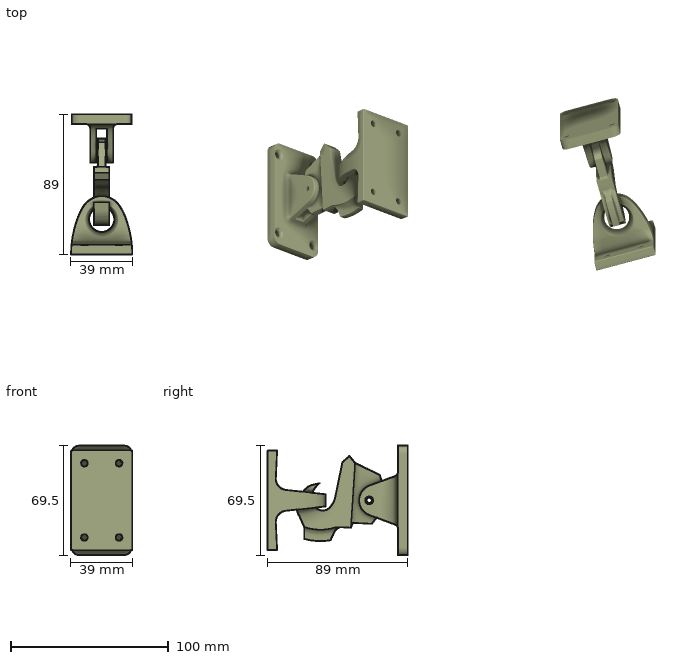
import cadquery as cq
import math


tiny = 0.2

overall_depth = 89.0

wall_back_y = 24.6
wall_thickness = 6.4
wall_width = 38.1
wall_height = 69.5
wall_corner_radius = 5.0
wall_hole_spacing_x = 29.9
wall_hole_spacing_z = 54.0
wall_hole_diameter = 4.0
countersink_diameter = 7.1
countersink_angle = 90

clevis_width = 14.8
clevis_slot_width = 6.6
clevis_slot_floor_y = 15.1
clevis_nose_radius = 10.0
clevis_nose_center_y = 3.65
clevis_flank_angle = 20.5
clevis_edge_radius = 0.7
clevis_base_radius = 2.5

pin_diameter = 5.0
pin_bore = 3.3

hook_width = 9.8
crown_tip = (-12.55, 28.1)
crown_front = (-17.0, 24.1)
shoulder = (-8.9, 23.8)
heel = (-11.6, -17.4)
below_heel_z = -18.7
throat_start = (-21.5, 2.1)
throat_arc_ends = [(-24.8, -4.4), (-33.5, -4.8), (-35.7, 5.3)]
hook_tip = (-31.3, 10.95)
beak_top = (-36.05, 9.8)
beak_arc_ends = [(-39.9, 7.7), (-45.8, -3.1), (-44.4, -9.6)]

lug_thickness = 4.9
lug_back_y = 9.3
lug_top_z = 8.3
lug_bottom_z = -5.4
lug_upper_corner = (6.8, 16.1)
lug_lower_corner = (1.6, -14.95)
lug_root_corner = (-10.3, -14.3)
lug_fillet_radius = 1.0

foot_thickness = 4.0
foot_arc_center_y = -30.8
foot_arc_center_z = 13.0
foot_inner_radius = 31.6
foot_outer_radius = 38.9
foot_end_y = -41.2
foot_start = (-20.65, -16.9)
foot_blend_start = (-17.7, -16.8)
foot_blend_middle = (-20.5, -18.1)
foot_blend_end = (-22.2, -20.4)
foot_back_corner = (-24.5, -25.4)
foot_top_z = -13.35

ring_plate_width = 39.0
ring_plate_height = 63.2
ring_front_y = wall_back_y - overall_depth
ring_plate_edge_y = -58.2
ring_plate_root_y = -59.4
arm_nose_y = -27.4
arm_tip_y = -26.7
arm_tip_half_height = 3.8
arm_root_half_height = 7.4
arm_root_radius = 7.0
ring_edge_radius = 0.5
arm_shoulder = (11.4, -33.55)
arm_waist = (15.2, -41.1)
ring_hole_center_y = -42.1
ring_hole_throat_radius = 7.9
ring_hole_mouth_radius = 10.3
ring_hole_mouth_depth = 5.4
ring_mouth_edge_radius = 0.45
mount_hole_diameter = 4.2
mount_hole_spacing_x = 22.0
mount_hole_spacing_z = 47.0


def extrude_across(outline, width):
    """Extrude a closed outline drawn in the YZ plane to both sides of X = 0."""
    return outline.extrude(width / 2, both=True)


def box_around(center, size):
    """Selector for the edges whose middle lies in a box."""
    low = tuple(middle - side / 2 for middle, side in zip(center, size))
    high = tuple(middle + side / 2 for middle, side in zip(center, size))
    return cq.selectors.BoxSelector(low, high)


def cross_rod(diameter, length):
    """Cylinder along the hinge axis."""
    return extrude_across(cq.Workplane("YZ").circle(diameter / 2), length)


def make_wall_plate():
    front_y = wall_back_y - wall_thickness
    plate = (
        cq.Workplane("XZ", origin=(0, wall_back_y, 0))
        .rect(wall_width, wall_height)
        .extrude(wall_thickness)
        .edges("|Y")
        .fillet(wall_corner_radius)
    )
    return (
        plate.copyWorkplane(cq.Workplane("XZ", origin=(0, front_y, 0)))
        .rect(wall_hole_spacing_x, wall_hole_spacing_z, forConstruction=True)
        .vertices()
        .cskHole(wall_hole_diameter, countersink_diameter, countersink_angle)
    )


def make_clevis_block():
    """Solid clevis tongue whose flanks run tangent into the round nose."""
    angle = math.radians(clevis_flank_angle)
    base_y = wall_back_y - wall_thickness / 2
    tangent_y = clevis_nose_center_y - clevis_nose_radius * math.sin(angle)
    tangent_z = clevis_nose_radius * math.cos(angle)
    base_z = tangent_z + (base_y - tangent_y) * math.tan(angle)
    outline = (
        cq.Workplane("YZ")
        .moveTo(base_y, base_z)
        .lineTo(tangent_y, tangent_z)
        .threePointArc((clevis_nose_center_y - clevis_nose_radius, 0), (tangent_y, -tangent_z))
        .lineTo(base_y, -base_z)
        .close()
    )
    block = extrude_across(outline, clevis_width)
    return block.faces("<X or >X").edges("not >Y").fillet(clevis_edge_radius)


def make_wall_bracket():
    front_y = wall_back_y - wall_thickness
    bracket = make_wall_plate().union(make_clevis_block())
    root_edges = box_around((0, front_y, 0), (2 * clevis_width, tiny, wall_height / 2))
    bracket = bracket.edges(root_edges).fillet(clevis_base_radius)
    slot_length = clevis_slot_floor_y + clevis_nose_radius
    slot = cq.Workplane("XY").box(clevis_slot_width, slot_length, wall_height)
    slot = slot.translate((0, clevis_slot_floor_y - slot_length / 2, 0))
    return bracket.cut(slot).cut(cross_rod(pin_diameter, wall_width))


def make_pin():
    return cross_rod(pin_diameter, clevis_width).cut(cross_rod(pin_bore, clevis_width))


def back_face_y(z):
    """Y of the hook's flat back face, the line from heel to shoulder, at height z."""
    slope = (shoulder[0] - heel[0]) / (shoulder[1] - heel[1])
    return heel[0] + slope * (z - heel[1])


def foot_arc_z(radius, y):
    """Height at y of an arc about the foot's center line."""
    return foot_arc_center_z - math.sqrt(radius**2 - (y - foot_arc_center_y) ** 2)


def make_hook_body():
    """Hook blank; its shoulder and heel corners run past the size left after trimming."""
    outline = (
        cq.Workplane("YZ")
        .moveTo(back_face_y(below_heel_z), below_heel_z)
        .lineTo(back_face_y(crown_tip[1]), crown_tip[1])
        .lineTo(*crown_tip)
        .lineTo(*crown_front)
        .lineTo(*throat_start)
    )
    for arc_end in [*throat_arc_ends, hook_tip]:
        outline = outline.tangentArcPoint(arc_end, relative=False)
    outline = outline.lineTo(*beak_top)
    for arc_end in beak_arc_ends:
        outline = outline.tangentArcPoint(arc_end, relative=False)
    outline = (
        outline.lineTo(foot_end_y, foot_arc_z(foot_inner_radius, foot_end_y))
        .threePointArc((foot_arc_center_y, foot_arc_center_z - foot_inner_radius), foot_start)
        .lineTo(foot_start[0], below_heel_z)
        .close()
    )
    return extrude_across(outline, hook_width)


def make_lug():
    """Blank of the thin tongue that turns on the pin, before its corners are trimmed."""
    outline = (
        cq.Workplane("YZ")
        .moveTo(back_face_y(crown_tip[1]), crown_tip[1])
        .lineTo(lug_back_y, crown_tip[1])
        .lineTo(lug_back_y, below_heel_z)
        .lineTo(back_face_y(below_heel_z), below_heel_z)
        .close()
    )
    return extrude_across(outline, lug_thickness)


def make_crown_cutter():
    """Region above the sloping top of the hook body and lug."""
    outline = (
        cq.Workplane("YZ")
        .moveTo(*crown_tip)
        .lineTo(*shoulder)
        .lineTo(*lug_upper_corner)
        .lineTo(lug_back_y, lug_top_z)
        .lineTo(lug_back_y, crown_tip[1])
        .close()
    )
    return extrude_across(outline, hook_width)


def make_heel_cutter():
    """Region below the heel of the hook body and the underside of the lug."""
    outline = (
        cq.Workplane("YZ")
        .moveTo(foot_start[0], below_heel_z)
        .lineTo(*foot_start)
        .lineTo(*heel)
        .lineTo(*lug_root_corner)
        .lineTo(*lug_lower_corner)
        .lineTo(lug_back_y, lug_bottom_z)
        .lineTo(lug_back_y, below_heel_z)
        .close()
    )
    return extrude_across(outline, hook_width)


def foot_outline():
    """Side outline of the foot; its back edge blends into the heel underside."""
    return (
        cq.Workplane("YZ")
        .moveTo(*foot_blend_start)
        .threePointArc(foot_blend_middle, foot_blend_end)
        .lineTo(*foot_back_corner)
        .threePointArc(
            (foot_arc_center_y, foot_arc_center_z - foot_outer_radius),
            (foot_end_y, foot_arc_z(foot_outer_radius, foot_end_y)),
        )
        .lineTo(foot_end_y, foot_top_z)
        .lineTo(foot_blend_start[0], foot_top_z)
        .close()
    )


def make_foot():
    """Thin foot under the hook, hollow-flared up to the full hook width."""
    flare = (hook_width - foot_thickness) / 2
    web = extrude_across(foot_outline(), foot_thickness)
    bend = flare * math.sqrt(0.5)
    flare_radius = foot_inner_radius + flare
    half_foot = foot_thickness / 2
    half_hook = hook_width / 2
    section = (
        cq.Workplane("XZ", origin=(0, foot_arc_center_y, foot_arc_center_z))
        .moveTo(-half_foot, -flare_radius)
        .threePointArc((bend - half_hook, bend - flare_radius), (-half_hook, -foot_inner_radius))
        .lineTo(-half_hook, flare - foot_inner_radius)
        .lineTo(half_hook, flare - foot_inner_radius)
        .lineTo(half_hook, -foot_inner_radius)
        .threePointArc((half_hook - bend, bend - flare_radius), (half_foot, -flare_radius))
        .close()
    )
    flared_ring = section.revolve(360, (0, 0, 0), (1, 0, 0))
    return web.union(flared_ring.intersect(extrude_across(foot_outline(), hook_width)))


def make_hook():
    hook = make_hook_body().union(make_lug())
    middle_z = (crown_tip[1] + below_heel_z) / 2
    junction = box_around((0, back_face_y(middle_z), middle_z), (lug_thickness + tiny, tiny, tiny))
    hook = hook.edges(junction).fillet(lug_fillet_radius)
    hook = hook.cut(make_crown_cutter()).cut(make_heel_cutter())
    return hook.union(make_foot()).cut(cross_rod(pin_diameter, hook_width))


def make_ring_profile():
    """Side profile of plate and tapering arm, extruded over the full width."""
    half_height = ring_plate_height / 2
    profile = (
        cq.Workplane("YZ")
        .moveTo(ring_front_y, half_height)
        .lineTo(ring_plate_edge_y, half_height)
        .lineTo(ring_plate_root_y, arm_root_half_height)
        .lineTo(arm_tip_y, arm_tip_half_height)
        .lineTo(arm_tip_y, -arm_tip_half_height)
        .lineTo(ring_plate_root_y, -arm_root_half_height)
        .lineTo(ring_plate_edge_y, -half_height)
        .lineTo(ring_front_y, -half_height)
        .close()
    )
    blank = extrude_across(profile, ring_plate_width)
    corners = box_around((0, ring_plate_root_y, 0), (tiny, tiny, half_height))
    return blank.edges(corners).fillet(arm_root_radius)


def make_ring_outline():
    """Bell-shaped plan outline of the ring plate."""
    half_width = ring_plate_width / 2
    shoulder_x, shoulder_y = arm_shoulder
    nose_depth = arm_nose_y - shoulder_y
    nose_radius = (shoulder_x**2 + nose_depth**2) / (2 * nose_depth)
    half_angle = math.asin(shoulder_x / nose_radius) / 2
    nose_middle = (
        nose_radius * math.sin(half_angle),
        arm_nose_y - nose_radius * (1 - math.cos(half_angle)),
    )
    bell = (
        cq.Workplane("XY")
        .moveTo(0, arm_nose_y)
        .threePointArc(nose_middle, arm_shoulder)
        .tangentArcPoint(arm_waist, relative=False)
        .tangentArcPoint((half_width, ring_front_y), relative=False)
        .lineTo(0, ring_front_y)
        .mirrorY()
    )
    return bell.extrude(ring_plate_height, both=True)


def make_ring_hole():
    """Two cones meeting at the throat in the middle of the ring."""
    slope = (ring_hole_mouth_radius - ring_hole_throat_radius) / ring_hole_mouth_depth
    reach = 2 * ring_hole_mouth_depth
    end_radius = ring_hole_throat_radius + slope * reach
    section = (
        cq.Workplane("XZ", origin=(0, ring_hole_center_y, 0))
        .moveTo(0, -reach)
        .lineTo(end_radius, -reach)
        .lineTo(ring_hole_throat_radius, 0)
        .lineTo(end_radius, reach)
        .lineTo(0, reach)
        .close()
    )
    return section.revolve(360, (0, 0, 0), (0, 1, 0))


def make_ring_plate():
    blank = make_ring_profile().intersect(make_ring_outline()).clean()
    outer_edges = "(not (|X or |Z)) or <Y or >Z or <Z"
    blank = blank.edges(outer_edges).fillet(ring_edge_radius).cut(make_ring_hole())
    reach = ring_hole_throat_radius
    mouths = box_around((0, ring_hole_center_y, 0), (reach, reach, 2 * reach))
    blank = blank.edges(mouths).edges(">Z or <Z").fillet(ring_mouth_edge_radius)
    return (
        blank.copyWorkplane(cq.Workplane("XZ", origin=(0, ring_front_y, 0)))
        .rect(mount_hole_spacing_x, mount_hole_spacing_z, forConstruction=True)
        .vertices()
        .circle(mount_hole_diameter / 2)
        .cutThruAll()
    )


wall_bracket = make_wall_bracket()
pin = make_pin()
hook = make_hook()
ring_plate = make_ring_plate()

bodies = (wall_bracket, pin, hook, ring_plate)
result = cq.Compound.makeCompound([body.solids().val() for body in bodies])